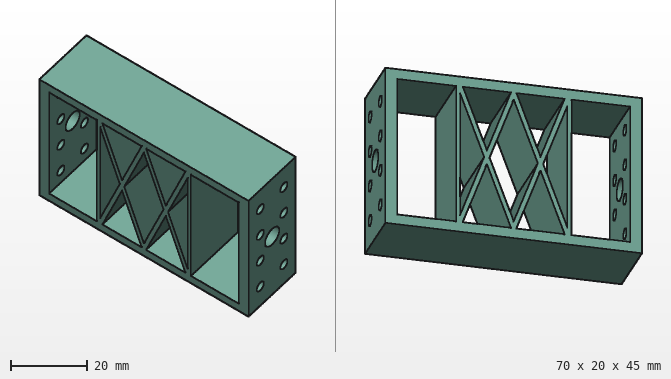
import cadquery as cq
import math

length = 70.0
depth = 20.0
height = 45.0
end_wall = 3.3
flange = 2.9

truss_width = 29.25
web = 1.1
strut = 1.4
bay_count = 2

small_hole = 3.0
large_hole = 6.0
hole_pitch = 10.0
hole_columns = 2
hole_rows = 4

inner_height = height - 2 * flange
bay_width = truss_width / bay_count


def make_frame():
    opening = cq.Workplane("XY").box(length - 2 * end_wall, depth, inner_height)
    return cq.Workplane("XY").box(length, depth, height).cut(opening)


def make_web(side):
    x = side * (truss_width + web) / 2
    return cq.Workplane("XY").box(web, depth, inner_height).translate((x, 0, 0))


def make_strut(bay_x, lean):
    """Plate along one diagonal of a bay, trimmed to the truss area."""
    diagonal = math.hypot(bay_width, inner_height)
    angle = math.degrees(math.atan2(inner_height, bay_width))
    plate = (
        cq.Workplane("XY")
        .box(diagonal + 2 * strut, depth, strut)
        .rotate((0, 0, 0), (0, 1, 0), lean * angle)
        .translate((bay_x, 0, 0))
    )
    truss_area = cq.Workplane("XY").box(truss_width + web, depth, inner_height + flange)
    return plate.intersect(truss_area)


def make_end_holes(side):
    """Grid of small holes around one large hole, through one end wall."""
    wall_start = min(side * length / 2, side * (length / 2 - end_wall))
    face = cq.Workplane("YZ", origin=(wall_start, 0, 0))
    grid = face.rarray(hole_pitch, hole_pitch, hole_columns, hole_rows)
    small_holes = grid.circle(small_hole / 2).extrude(end_wall)
    centre_hole = face.circle(large_hole / 2).extrude(end_wall)
    return small_holes.union(centre_hole)


result = make_frame()
for side in (-1, 1):
    result = result.union(make_web(side))
    result = result.cut(make_end_holes(side))
for bay in range(bay_count):
    bay_x = (bay + 0.5) * bay_width - truss_width / 2
    for lean in (-1, 1):
        result = result.union(make_strut(bay_x, lean))
result = result.clean()